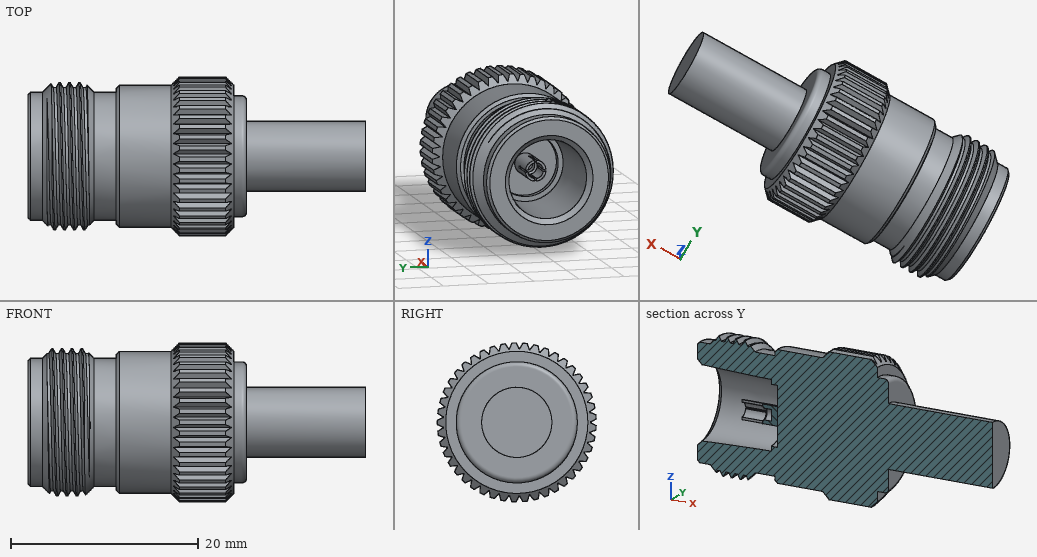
import cadquery as cq
import math

LENGTH = 36.1
NOSE_DIA = 13.7
NOSE_LENGTH = 1.55
NOSE_CHAMFER = 0.3

THREAD_ROOT_DIA = 14.73
THREAD_CREST_DIA = 15.78
THREAD_FLANK_ANGLE = 30.0
THREAD_CREST_WIDTH = 0.15
THREAD_END = 7.08
THREAD_RUNOUT_MARGIN = 0.72
THREAD_FIRST_CREST_X = 2.6
THREAD_LAST_CREST_X = 5.78
THREAD_FULL_CRESTS = 4
THREAD_PITCH = (THREAD_LAST_CREST_X - THREAD_FIRST_CREST_X) / (THREAD_FULL_CRESTS - 1)
THREAD_ROOT_OVERLAP = 0.1

SLEEVE_START = 9.42
SLEEVE_DIA = 15.2
SLEEVE_CHAMFER = 0.35

KNURL_START = 15.3
KNURL_END = 22.02
KNURL_DIA = 17.0
KNURL_CHAMFER = 0.9
KNURL_GROOVES = 45
KNURL_GROOVE_DEPTH = 0.65
KNURL_GROOVE_HALF_WIDTH = 0.35

COLLAR_END = 23.4
COLLAR_DIA = 12.95
COLLAR_FILLET = 0.55
SHAFT_DIA = 7.5

MOUTH_DIA = 9.7
BORE_DIA = 8.6
BORE_FLOOR_DIA = 8.05
BORE_DEPTH = 9.02
RECESS_DIA = 6.95
RECESS_DEPTH = 9.75

PIN_DIA = 2.27
PIN_TIP = 5.4
PIN_HOLE_DIA = 1.7
PIN_HOLE_END_DIA = 1.25
PIN_HOLE_DEPTH = 3.6
PIN_SLOT_WIDTH = 0.2
PIN_SLOT_DEPTH = 2.53


def revolve_about_x(points):
    """Solid of revolution about X from (x, radius) points of one closed outline."""
    return cq.Workplane("XY").polyline(points).close().revolve(360, (0, 0, 0), (1, 0, 0))


def rod(dia, start, end):
    """Cylinder on the X axis from x = start to x = end."""
    return cq.Workplane("YZ", origin=(start, 0, 0)).circle(dia / 2).extrude(end - start)


def threaded_zone(dia):
    """Disc of the given diameter over the threaded length, with 45 degree ends."""
    rise = (dia - NOSE_DIA) / 2
    return revolve_about_x([
        (NOSE_LENGTH, 0),
        (NOSE_LENGTH, NOSE_DIA / 2),
        (NOSE_LENGTH + rise, dia / 2),
        (THREAD_END - rise, dia / 2),
        (THREAD_END, NOSE_DIA / 2),
        (THREAD_END, 0),
    ])


def thread_ridge():
    """Right-handed helical ridge, run out by the 45 degree ends of the threaded zone."""
    start = THREAD_FIRST_CREST_X - THREAD_PITCH
    height = THREAD_PITCH * math.ceil((THREAD_END - start) / THREAD_PITCH)
    inner_radius = THREAD_ROOT_DIA / 2 - THREAD_ROOT_OVERLAP
    outer_radius = THREAD_CREST_DIA / 2
    crest_half = THREAD_CREST_WIDTH / 2
    base_half = crest_half + (outer_radius - inner_radius) * math.tan(math.radians(THREAD_FLANK_ANGLE))
    helix = cq.Wire.makeHelix(THREAD_PITCH, height, THREAD_ROOT_DIA / 2)
    ridge = (
        cq.Workplane("XZ")
        .polyline([
            (inner_radius, -base_half),
            (outer_radius, -crest_half),
            (outer_radius, crest_half),
            (inner_radius, base_half),
        ])
        .close()
        .sweep(cq.Workplane(helix), isFrenet=True)
    )
    ridge = (
        ridge.rotate((0, 0, 0), (0, 0, 1), 180)
        .rotate((0, 0, 0), (0, 1, 0), 90)
        .translate((start, 0, 0))
    )
    return ridge.intersect(threaded_zone(THREAD_CREST_DIA + THREAD_RUNOUT_MARGIN))


def knurled_ring():
    """Chamfered ring with V grooves along X."""
    ring = rod(KNURL_DIA, KNURL_START, KNURL_END).edges().chamfer(KNURL_CHAMFER)
    rim = KNURL_DIA / 2
    bottom = rim - KNURL_GROOVE_DEPTH
    reach = 2 * KNURL_GROOVE_DEPTH
    reach_half = reach / KNURL_GROOVE_DEPTH * KNURL_GROOVE_HALF_WIDTH
    groove = (
        cq.Workplane("YZ", origin=(KNURL_START, 0, 0))
        .polyline([(-bottom, 0), (-bottom - reach, reach_half), (-bottom - reach, -reach_half)])
        .close()
        .extrude(KNURL_END - KNURL_START)
    )
    pitch_angle = 360 / KNURL_GROOVES
    for i in range(KNURL_GROOVES):
        ring = ring.cut(groove.rotate((0, 0, 0), (1, 0, 0), (i + 0.5) * pitch_angle))
    return ring


def socket():
    """Space inside the mating end: chamfered mouth, tapered bore and recessed floor."""
    mouth_depth = (MOUTH_DIA - BORE_DIA) / 2
    return revolve_about_x([
        (0, 0),
        (0, MOUTH_DIA / 2),
        (mouth_depth, BORE_DIA / 2),
        (BORE_DEPTH, BORE_FLOOR_DIA / 2),
        (BORE_DEPTH, RECESS_DIA / 2),
        (RECESS_DEPTH, RECESS_DIA / 2),
        (RECESS_DEPTH, 0),
    ])


def make_housing():
    nose = rod(NOSE_DIA, 0, SLEEVE_START).faces("<X").chamfer(NOSE_CHAMFER)
    sleeve = rod(SLEEVE_DIA, SLEEVE_START, KNURL_START).faces("<X").chamfer(SLEEVE_CHAMFER)
    collar = rod(COLLAR_DIA, KNURL_END, COLLAR_END).faces(">X").edges().fillet(COLLAR_FILLET)
    shaft = rod(SHAFT_DIA, COLLAR_END, LENGTH)
    return (
        nose.union(threaded_zone(THREAD_ROOT_DIA))
        .union(thread_ridge())
        .union(sleeve)
        .union(knurled_ring())
        .union(collar)
        .union(shaft)
        .cut(socket())
    )


def make_contact_pin():
    """Female contact standing on the socket floor, split by two crossed slots."""
    pin = rod(PIN_DIA, PIN_TIP, RECESS_DEPTH)
    slot_end = PIN_TIP + PIN_SLOT_DEPTH
    hole_end = PIN_TIP + PIN_HOLE_DEPTH
    taper_length = (PIN_HOLE_DIA - PIN_HOLE_END_DIA) / 2
    hole = revolve_about_x([
        (PIN_TIP, 0),
        (PIN_TIP, PIN_HOLE_DIA / 2),
        (slot_end, PIN_HOLE_DIA / 2),
        (slot_end + taper_length, PIN_HOLE_END_DIA / 2),
        (hole_end, PIN_HOLE_END_DIA / 2),
        (hole_end, 0),
    ])
    slot = cq.Workplane("YZ", origin=(PIN_TIP, 0, 0)).rect(PIN_DIA, PIN_SLOT_WIDTH).extrude(PIN_SLOT_DEPTH)
    crossed_slot = slot.rotate((0, 0, 0), (1, 0, 0), 90)
    return pin.cut(hole).cut(slot).cut(crossed_slot)


housing = make_housing()
contact_pin = make_contact_pin()

result = cq.Compound.makeCompound([housing.val(), contact_pin.val()])